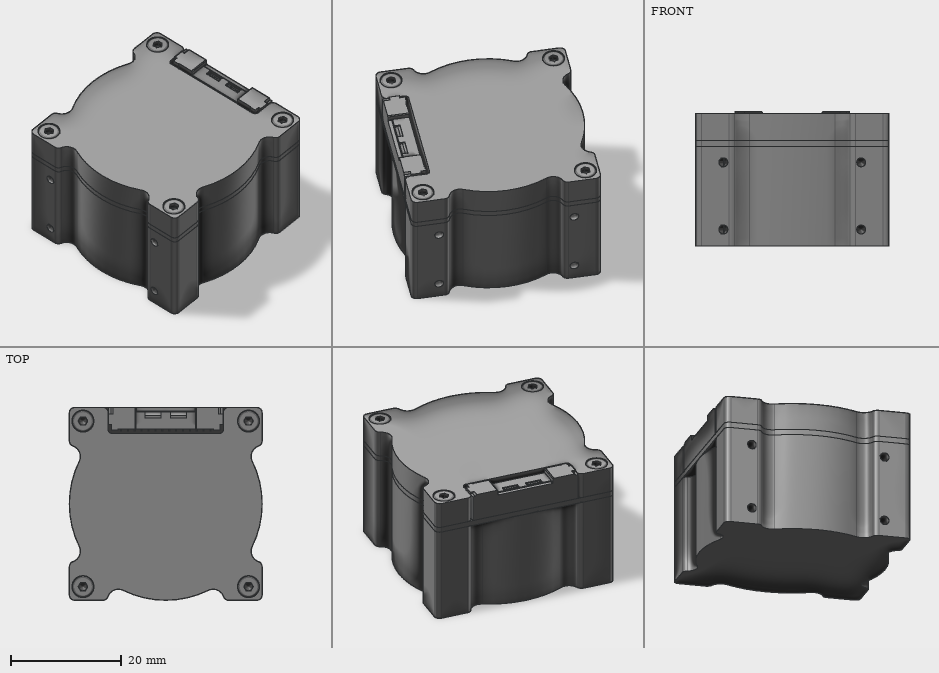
import cadquery as cq
import math

SIDE = 35.0
HALF = SIDE / 2
CUT_MARGIN = 0.35
HOUSING_TOP = 18.1
PLATE_THICKNESS = 1.0
PLATE_TOP = HOUSING_TOP + PLATE_THICKNESS
COVER_TOP = 24.08
OVERALL_HEIGHT = 24.4

GROOVE_RADIUS = 2.0
CORNER_RADIUS = 1.0
GROOVE_OFFSET = math.sqrt((HALF + GROOVE_RADIUS) ** 2 - HALF**2)
BULGE_END = HALF * GROOVE_OFFSET / (HALF + GROOVE_RADIUS)

SCREW_INSET = 2.5
SCREW_OFFSET = HALF - SCREW_INSET
SHANK_DIAMETER = 2.0
HEAD_DIAMETER = 3.8
HEAD_POCKET_DIAMETER = 4.0
HEAD_HEIGHT = 2.0
HEAD_ROUND = 0.2
HEX_FLATS = 1.5
HEX_CORNERS = HEX_FLATS / math.cos(math.pi / 6)
HEX_DEPTH = 1.0
SHANK_ENGAGEMENT = 4.0
SHANK_BOTTOM = HOUSING_TOP - SHANK_ENGAGEMENT

SIDE_HOLE_DIAMETER = 1.6
SIDE_HOLE_OFFSET = 12.5
SIDE_HOLE_HEIGHTS = (3.0, 15.2)
SIDE_HOLE_DEPTH = HALF - SIDE_HOLE_OFFSET
DRILL_POINT_ANGLE = 118.0
POINT_SLOPE = math.tan(math.radians(DRILL_POINT_ANGLE / 2))

NOTCH_HALF_WIDTH = 10.45
NOTCH_BACK = 12.78
NOTCH_RADIUS = 0.7

CONNECTOR_HALF_WIDTH = 10.35
CONNECTOR_BACK = 13.55
SADDLE_HALF_WIDTH = 5.42
SADDLE_DEPTH = 0.9
SADDLE_TOP = OVERALL_HEIGHT - SADDLE_DEPTH
SHOULDER_CHAMFER = 0.18
LIP_BACK = 16.62
LIP_RAMP = 0.18
LIP_HALF_WIDTH = 5.32
LIP_DROP = 0.1
WINDOW_CENTER = 2.28
WINDOW_WIDTH = 2.9
WINDOW_BACK = 15.58
WINDOW_RAMP_START = 16.03
WINDOW_DEPTH = 0.2
WINDOW_RAMP_DROP = 0.35
FRONT_CORNER_BACK = 16.28
FRONT_CORNER_WIDTH = 0.77
FRONT_CORNER_RAMP = 0.3
FRONT_CORNER_DEPTH = 0.3
REAR_CORNER_WIDTH = 0.52
REAR_CORNER_LENGTH = 0.85
REAR_PAD_INNER = 8.65
REAR_PAD_THICKNESS = 0.15
PIN_COUNT = 14
PIN_SPAN = 16.25
PIN_PITCH = PIN_SPAN / (PIN_COUNT - 1)
PIN_WIDTH = 0.2
PIN_LENGTH = 0.35
PIN_HEIGHT = 0.3

QUADRANTS = [(sx, sy) for sx in (-1, 1) for sy in (-1, 1)]
SCREW_POINTS = [(sx * SCREW_OFFSET, sy * SCREW_OFFSET) for sx, sy in QUADRANTS]


def box(x_range, y_range, z_range):
    """Box spanning the given (low, high) ranges along X, Y and Z."""
    low, high = zip(x_range, y_range, z_range)
    size = [top - bottom for bottom, top in zip(low, high)]
    return cq.Workplane("XY").box(*size, centered=False).translate(low)


def side_relief(bottom, height):
    """Material removed from the -Y side: the strip outside the bulge and its two grooves."""
    blend_x = math.sqrt((GROOVE_RADIUS + CORNER_RADIUS) ** 2 - CORNER_RADIUS**2)
    flat_end = GROOVE_OFFSET + blend_x
    share = GROOVE_RADIUS / (GROOVE_RADIUS + CORNER_RADIUS)
    blend_end = (GROOVE_OFFSET + share * blend_x, -HALF + share * CORNER_RADIUS)
    bulge_end_y = -math.sqrt(HALF**2 - BULGE_END**2)

    blend_angle = math.atan2(blend_x, CORNER_RADIUS) / 2
    blend_middle = (
        flat_end - CORNER_RADIUS * math.sin(blend_angle),
        -HALF + CORNER_RADIUS * (1 - math.cos(blend_angle)),
    )
    groove_deepest = (GROOVE_OFFSET, -HALF + GROOVE_RADIUS)

    def mirrored(point):
        return (-point[0], point[1])

    outside = -HALF - CUT_MARGIN
    return (
        cq.Workplane("XY")
        .workplane(offset=bottom)
        .moveTo(-flat_end, outside)
        .lineTo(-flat_end, -HALF)
        .threePointArc(mirrored(blend_middle), mirrored(blend_end))
        .threePointArc(mirrored(groove_deepest), (-BULGE_END, bulge_end_y))
        .threePointArc((0, -HALF), (BULGE_END, bulge_end_y))
        .threePointArc(groove_deepest, blend_end)
        .threePointArc(blend_middle, (flat_end, -HALF))
        .lineTo(flat_end, outside)
        .close()
        .extrude(height)
    )


def outline_slab(bottom, top, relieved_turns):
    """Rounded square slab, relieved on the sides reached by turning -Y about Z."""
    height = top - bottom
    slab = box((-HALF, HALF), (-HALF, HALF), (bottom, top)).edges("|Z").fillet(CORNER_RADIUS)
    relief = side_relief(bottom, height)
    for turn in relieved_turns:
        slab = slab.cut(relief.rotate((0, 0, 0), (0, 0, 1), turn))
    return slab


def screw_cylinders(diameter, bottom, top):
    """A vertical cylinder at each of the four screw positions."""
    plane = cq.Workplane("XY").workplane(offset=bottom).pushPoints(SCREW_POINTS)
    return plane.circle(diameter / 2).extrude(top - bottom)


def drill(diameter, depth):
    """Drill shape along +Z from the origin with a conical point past its full depth."""
    radius = diameter / 2
    return (
        cq.Workplane("XZ")
        .polyline([(0, 0), (radius, 0), (radius, depth), (0, depth + radius / POINT_SLOPE)])
        .close()
        .revolve(360, (0, 0, 0), (0, 1, 0))
    )


def make_housing():
    body = outline_slab(0, HOUSING_TOP, (0, 90, 180, 270))
    body = body.cut(screw_cylinders(SHANK_DIAMETER, SHANK_BOTTOM, HOUSING_TOP))
    bit = drill(SIDE_HOLE_DIAMETER, SIDE_HOLE_DEPTH)
    into_front = bit.rotate((0, 0, 0), (1, 0, 0), -90)
    into_left = bit.rotate((0, 0, 0), (0, 1, 0), 90)
    for height in SIDE_HOLE_HEIGHTS:
        for offset in (-SIDE_HOLE_OFFSET, SIDE_HOLE_OFFSET):
            body = body.cut(into_front.translate((offset, -HALF, height)))
            body = body.cut(into_left.translate((-HALF, offset, height)))
    return body


def make_plate():
    body = outline_slab(HOUSING_TOP, PLATE_TOP, (0, 90, 270))
    return body.cut(screw_cylinders(SHANK_DIAMETER, HOUSING_TOP, PLATE_TOP))


def make_cover():
    body = outline_slab(PLATE_TOP, COVER_TOP, (0, 90, 180, 270))
    notch = box(
        (-NOTCH_HALF_WIDTH, NOTCH_HALF_WIDTH), (NOTCH_BACK, HALF + CUT_MARGIN), (PLATE_TOP, COVER_TOP)
    )
    body = body.cut(notch.edges("|Z and <Y").fillet(NOTCH_RADIUS))
    body = body.cut(screw_cylinders(SHANK_DIAMETER, PLATE_TOP, COVER_TOP))
    return body.cut(screw_cylinders(HEAD_POCKET_DIAMETER, COVER_TOP - HEAD_HEIGHT, COVER_TOP))


def make_screw(x, y):
    head_bottom = COVER_TOP - HEAD_HEIGHT
    head = cq.Workplane("XY").workplane(offset=head_bottom).circle(HEAD_DIAMETER / 2)
    head = head.extrude(HEAD_HEIGHT).faces(">Z").edges().fillet(HEAD_ROUND)
    shank = cq.Workplane("XY").workplane(offset=SHANK_BOTTOM).circle(SHANK_DIAMETER / 2)
    shank = shank.extrude(head_bottom - SHANK_BOTTOM)
    socket = cq.Workplane("XY").workplane(offset=COVER_TOP).polygon(6, HEX_CORNERS)
    socket = socket.extrude(-HEX_DEPTH)
    point = drill(HEX_FLATS, HEX_DEPTH).rotate((0, 0, 0), (1, 0, 0), 180).translate((0, 0, COVER_TOP))
    return head.union(shank).cut(socket).cut(point).translate((x, y, 0))


def connector_block():
    """Block whose top has a saddle between two shoulders chamfered on their inner edges."""
    half_profile = [
        (SADDLE_HALF_WIDTH, SADDLE_TOP),
        (SADDLE_HALF_WIDTH, OVERALL_HEIGHT - SHOULDER_CHAMFER),
        (SADDLE_HALF_WIDTH + SHOULDER_CHAMFER, OVERALL_HEIGHT),
        (CONNECTOR_HALF_WIDTH, OVERALL_HEIGHT),
        (CONNECTOR_HALF_WIDTH, PLATE_TOP),
    ]
    mirrored_profile = [(-x, z) for x, z in reversed(half_profile)]
    return (
        cq.Workplane("XZ", origin=(0, HALF, 0))
        .polyline(half_profile + mirrored_profile)
        .close()
        .extrude(HALF - CONNECTOR_BACK)
    )


def lip_step():
    """Shallow step along the +Y edge of the saddle, reached by a short ramp."""
    floor = SADDLE_TOP - LIP_DROP
    profile = [(LIP_BACK, SADDLE_TOP), (LIP_BACK + LIP_RAMP, floor), (HALF, floor), (HALF, SADDLE_TOP)]
    plane = cq.Workplane("YZ", origin=(-LIP_HALF_WIDTH, 0, 0))
    return plane.polyline(profile).close().extrude(2 * LIP_HALF_WIDTH)


def latch_window(center_x):
    """Pocket in the saddle with a flat rear ledge and a ramp falling toward +Y."""
    ledge = SADDLE_TOP - WINDOW_DEPTH
    profile = [
        (WINDOW_BACK, SADDLE_TOP),
        (WINDOW_BACK, ledge),
        (WINDOW_RAMP_START, ledge),
        (LIP_BACK, ledge - WINDOW_RAMP_DROP),
        (LIP_BACK, SADDLE_TOP),
    ]
    start = center_x - WINDOW_WIDTH / 2
    return cq.Workplane("YZ", origin=(start, 0, 0)).polyline(profile).close().extrude(WINDOW_WIDTH)


def front_corner_cut():
    """Ramped recess in the +X shoulder at its front outer corner."""
    inner = CONNECTOR_HALF_WIDTH - FRONT_CORNER_WIDTH
    floor = OVERALL_HEIGHT - FRONT_CORNER_DEPTH
    profile = [
        (inner, OVERALL_HEIGHT),
        (inner + FRONT_CORNER_RAMP, floor),
        (CONNECTOR_HALF_WIDTH, floor),
        (CONNECTOR_HALF_WIDTH, OVERALL_HEIGHT),
    ]
    plane = cq.Workplane("XZ", origin=(0, HALF, 0))
    return plane.polyline(profile).close().extrude(HALF - FRONT_CORNER_BACK)


def make_connector():
    body = connector_block()
    body = body.cut(lip_step())
    for side in (-1, 1):
        body = body.cut(latch_window(side * WINDOW_CENTER))

    full_z = (PLATE_TOP, OVERALL_HEIGHT)
    rear_inner = CONNECTOR_HALF_WIDTH - REAR_CORNER_WIDTH
    rear_corner = box(
        (rear_inner, CONNECTOR_HALF_WIDTH), (CONNECTOR_BACK, CONNECTOR_BACK + REAR_CORNER_LENGTH), full_z
    )
    rear_pad = box(
        (REAR_PAD_INNER, rear_inner), (CONNECTOR_BACK - REAR_PAD_THICKNESS, CONNECTOR_BACK), full_z
    )
    corner_cuts = front_corner_cut().union(rear_corner)
    body = body.cut(corner_cuts).cut(corner_cuts.mirror("YZ"))
    body = body.union(rear_pad).union(rear_pad.mirror("YZ"))

    pin_y = (CONNECTOR_BACK - PIN_LENGTH, CONNECTOR_BACK)
    pin = box((-PIN_WIDTH / 2, PIN_WIDTH / 2), pin_y, (PLATE_TOP, PLATE_TOP + PIN_HEIGHT))
    for index in range(PIN_COUNT):
        body = body.union(pin.translate(((index - (PIN_COUNT - 1) / 2) * PIN_PITCH, 0, 0)))
    return body


housing = make_housing()
plate = make_plate()
cover = make_cover()
connector = make_connector()
screws = [make_screw(x, y) for x, y in SCREW_POINTS]

result = cq.Compound.makeCompound(
    [housing.val(), plate.val(), cover.val(), connector.val(), *[screw.val() for screw in screws]]
)